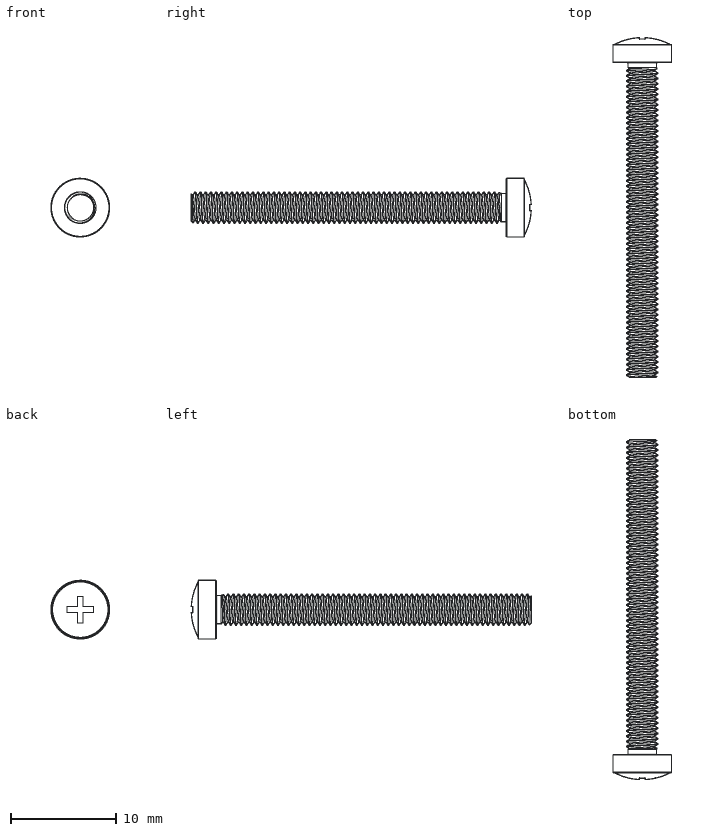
import cadquery as cq
import math

recess_span = 2.53
recess_arm_width = 0.55
recess_depth = 1.3
recess_inner_corner = recess_arm_width / 2 * math.sqrt(2)

head_diameter = 5.6
head_radius = head_diameter / 2
head_height = 2.4
head_edge_chamfer = 0.05
rim_width = 0.15
dome_rim_radius = head_radius - rim_width
dome_sphere_radius = 5.65
dome_center_height = head_height - math.sqrt(dome_sphere_radius**2 - recess_inner_corner**2)

overall_length = 32.38
shank_length = overall_length - head_height
neck_radius = 2.72 / 2
neck_length = 0.45
neck_fillet = 0.05
major_radius = 3.0 / 2
root_radius = 2.45 / 2
tip_radius = 2.55 / 2

shank_pitches = 60
pitch = shank_length / shank_pitches
flank_angle = math.radians(30)
crest_width = pitch / 8
ridge_overlap = 0.03
thread_start_angle = 180

trim_radius = 1.62
neck_trim_length = 0.68
tip_trim_length = 0.32



def dome_point(radius):
    return radius, dome_center_height + math.sqrt(dome_sphere_radius**2 - radius**2)


def make_head():
    dome_rim = dome_point(dome_rim_radius)
    rim_height = dome_rim[1]
    profile = (
        cq.Workplane("XZ")
        .lineTo(head_radius - head_edge_chamfer, 0)
        .lineTo(head_radius, head_edge_chamfer)
        .lineTo(head_radius, rim_height - head_edge_chamfer)
        .lineTo(head_radius - head_edge_chamfer, rim_height)
        .lineTo(*dome_rim)
        .threePointArc(dome_point(dome_rim_radius / 2), dome_point(0))
        .close()
    )
    return profile.revolve(360, (0, 0), (0, 1))


def make_recess():
    crown_height = dome_point(0)[1]
    crown = cq.Workplane("XY").workplane(offset=crown_height)
    arm = crown.rect(recess_span, recess_arm_width).extrude(-recess_depth)
    cross_arm = crown.rect(recess_arm_width, recess_span).extrude(-recess_depth)
    return arm.union(cross_arm)


def make_neck():
    """Plain cylinder, rounded into the head, with a 45 degree taper down to the thread root."""
    taper_end = -neck_length - (neck_radius - root_radius)
    profile = (
        cq.Workplane("XZ")
        .lineTo(neck_radius + neck_fillet, 0)
        .radiusArc((neck_radius, -neck_fillet), -neck_fillet)
        .lineTo(neck_radius, -neck_length)
        .lineTo(root_radius, taper_end)
        .lineTo(0, taper_end)
        .close()
    )
    return profile.revolve(360, (0, 0), (0, 1))


def make_ridge():
    """Helical thread ridge, built turn by turn from ruled flanks and closed by a cap at each end."""
    inner_radius = root_radius - ridge_overlap
    crest_half = crest_width / 2
    base_half = crest_half + (major_radius - inner_radius) * math.tan(flank_angle)
    section = [
        (inner_radius, -base_half),
        (major_radius, -crest_half),
        (major_radius, crest_half),
        (inner_radius, base_half),
    ]
    helices = [
        cq.Wire.makeHelix(pitch, pitch, radius).translate(cq.Vector(0, 0, height))
        for radius, height in section
    ]
    turn = [
        cq.Face.makeRuledSurface(helix, next_helix)
        for helix, next_helix in zip(helices, helices[1:] + helices[:1])
    ]
    turn_count = math.ceil((shank_length - neck_length) / pitch) + 1
    faces = [
        face.translate(cq.Vector(0, 0, index * pitch))
        for index in range(turn_count)
        for face in turn
    ]
    corners = [cq.Vector(radius, 0, height) for radius, height in section]
    start_cap = cq.Face.makeFromWires(cq.Wire.makePolygon(corners, close=True))
    end_cap = start_cap.translate(cq.Vector(0, 0, turn_count * pitch))
    ridge = cq.Solid.makeSolid(cq.Shell.makeShell(faces + [start_cap, end_cap]))
    placed = ridge.rotate(cq.Vector(0, 0, 0), cq.Vector(0, 0, 1), thread_start_angle)
    return placed.translate(cq.Vector(0, 0, -shank_length - pitch / 2))


def make_threaded_shank():
    """Root cylinder with the ridge, trimmed to a run-out under the neck and a chamfered tip."""
    core = (
        cq.Workplane("XY")
        .workplane(offset=-shank_length - pitch)
        .circle(root_radius)
        .extrude(shank_length + pitch)
    )
    envelope = (
        cq.Workplane("XZ")
        .moveTo(0, -neck_length)
        .lineTo(neck_radius, -neck_length)
        .lineTo(trim_radius, -neck_length - neck_trim_length)
        .lineTo(trim_radius, -shank_length + tip_trim_length)
        .lineTo(tip_radius, -shank_length)
        .lineTo(0, -shank_length)
        .close()
        .revolve(360, (0, 0), (0, 1))
    )
    ridge = cq.Workplane(obj=make_ridge())
    return core.union(ridge, clean=False).intersect(envelope, clean=False)


head = make_head().cut(make_recess())
screw = head.union(make_neck()).union(make_threaded_shank(), clean=False)
result = screw.rotate((0, 0, 0), (1, 0, 0), -90).solids()